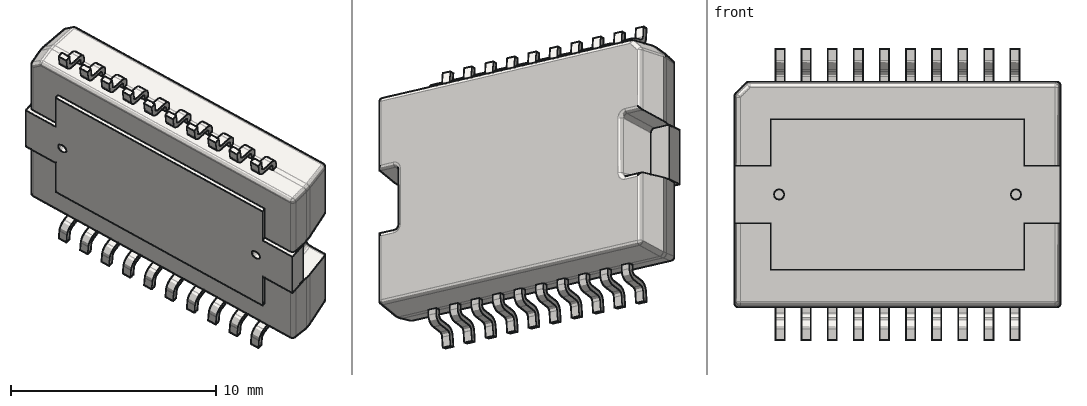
import cadquery as cq
import math

body_length = 15.9
body_height = 11.0
body_front = 0.2
body_back = 3.15
draft_angle = 6.0
corner_cut = 0.64
edge_radius = 0.2

lead_count = 10
lead_pitch = 1.27
lead_width = 0.46
lead_thickness = 0.27
lead_front = 1.18
lead_back = lead_front + lead_thickness
lead_span = 14.2
lead_tip_front = -0.05
lead_bend_diameter = 1.0
lead_bend_radius = (lead_bend_diameter - lead_thickness) / 2
lead_rise = 10.0
foot_lean = 6.0
foot_length = 0.54
lead_root = 4.77

slug_thickness = 0.92
slug_end_height = 2.81
pad_length = 12.34
pad_height = 7.31
dimple_diameter = 0.5
dimple_spacing = 11.55
dimple_depth = 0.48

recess_depth = 1.08


def plane_at(y):
    """XZ sketch plane at the given y, extruding towards +Y."""
    return cq.Workplane(cq.Plane(origin=(0, y, 0), xDir=(-1, 0, 0), normal=(0, 1, 0)))


def body_outline(y):
    """Rectangle with the pin 1 corner cut off (local x runs towards -X)."""
    half_length = body_length / 2
    half_height = body_height / 2
    return plane_at(y).polyline([
        (-half_length, -half_height),
        (half_length, -half_height),
        (half_length, half_height - corner_cut),
        (half_length - corner_cut, half_height),
        (-half_length, half_height),
    ]).close()


def moulded_body():
    """Body with rounded corners, recessed ends and rounded front and back rims."""
    band = body_outline(lead_front).extrude(lead_thickness)
    front_half = body_outline(lead_front).extrude(body_front - lead_front, taper=draft_angle)
    back_half = body_outline(lead_back).extrude(body_back - lead_back, taper=draft_angle)
    body = band.union(front_half).union(back_half)
    body = body.edges("not #Y").fillet(edge_radius)
    recess = end_recess()
    body = body.cut(recess).cut(recess.mirror("YZ"))
    return body.faces("<Y or >Y").edges().fillet(edge_radius)


def end_recess():
    """Drafted pocket at the -X end, behind the slug and open to the back."""
    flare = (body_back - slug_thickness) * math.tan(math.radians(draft_angle))
    back_depth = recess_depth + flare
    back_plane = cq.Workplane(cq.Plane(origin=(0, body_back, 0), xDir=(1, 0, 0), normal=(0, -1, 0)))
    return (
        back_plane.center(-body_length / 2, 0)
        .rect(2 * back_depth, slug_end_height + 2 * flare)
        .extrude(body_back - slug_thickness, taper=draft_angle)
        .edges("not #Y")
        .fillet(edge_radius)
    )


def heat_slug():
    """Flat cross of a full-length bar and a taller pad at its middle."""
    bar = plane_at(0).rect(body_length, slug_end_height).extrude(slug_thickness)
    pad = plane_at(0).rect(pad_length, pad_height).extrude(slug_thickness)
    return bar.union(pad)


def slug_dimples():
    """Cutters for the two round dimples in the slug face."""
    spots = [(-dimple_spacing / 2, 0), (dimple_spacing / 2, 0)]
    return plane_at(0).pushPoints(spots).circle(dimple_diameter / 2).extrude(dimple_depth)


def upper_lead():
    """S-bent lead of the upper row at x = 0, swept along its centre line."""
    rise = math.radians(lead_rise)
    lean = math.radians(foot_lean)
    root_y = lead_front + lead_thickness / 2
    tip_y = lead_tip_front + lead_thickness / 2 * math.cos(lean)
    tip_z = lead_span / 2 - lead_thickness / 2 * math.sin(lean)

    foot_y = tip_y + foot_length * math.sin(lean)
    foot_z = tip_z - foot_length * math.cos(lean)
    foot_centre = (
        foot_y + lead_bend_radius * math.cos(lean),
        foot_z + lead_bend_radius * math.sin(lean),
    )
    root_centre_y = root_y - lead_bend_radius
    slope_start_y = root_centre_y + lead_bend_radius * math.sin(rise)
    slope_end_y = foot_centre[0] - lead_bend_radius * math.sin(rise)
    slope_end_z = foot_centre[1] - lead_bend_radius * math.cos(rise)
    slope_start_z = slope_end_z - (slope_start_y - slope_end_y) * math.tan(rise)
    root_centre = (root_centre_y, slope_start_z - lead_bend_radius * math.cos(rise))

    def on_bend(centre, angle):
        """Point of a bend at an angle from +Y towards +Z, in radians."""
        return (
            centre[0] + lead_bend_radius * math.cos(angle),
            centre[1] + lead_bend_radius * math.sin(angle),
        )

    slope_normal = math.pi / 2 - rise
    foot_normal = math.pi + lean
    centre_line = (
        cq.Workplane("YZ")
        .moveTo(root_y, lead_root)
        .lineTo(root_y, root_centre[1])
        .threePointArc(on_bend(root_centre, slope_normal / 2), (slope_start_y, slope_start_z))
        .lineTo(slope_end_y, slope_end_z)
        .threePointArc(
            on_bend(foot_centre, (slope_normal + math.pi + foot_normal) / 2), (foot_y, foot_z)
        )
        .lineTo(tip_y, tip_z)
    )
    section = cq.Workplane("XY", origin=(0, root_y, lead_root)).rect(lead_width, lead_thickness)
    return section.sweep(centre_line)


result = moulded_body().union(heat_slug())
lead = upper_lead()
for i in range(lead_count):
    x = (i - (lead_count - 1) / 2) * lead_pitch
    placed = lead.translate((x, 0, 0))
    result = result.union(placed).union(placed.mirror("XY"))
result = result.cut(slug_dimples())